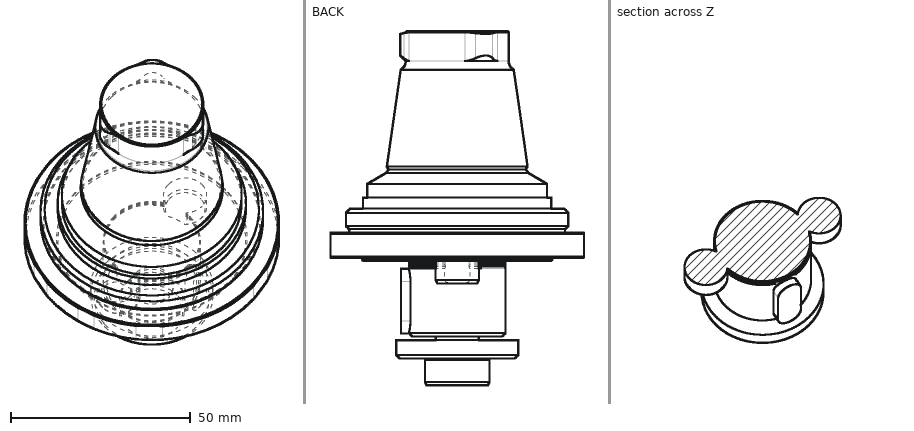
import cadquery as cq
import math

TOTAL_HEIGHT = 98.5
EDGE_BREAK = 0.4

BOSS_R = 18.0 / 2
BOSS_TOP = 7.5
BOSS_CHAMFER_HEIGHT = 1.0
BOSS_CHAMFER_WIDTH = 0.5
DISC_R = 34.0 / 2
DISC_TOP = 12.6
DISC_CHAMFER = 1.0
NECK_R = 12.0 / 2
SHAFT_R = 27.0 / 2
SHAFT_BOTTOM = 13.6
SHAFT_TOP = 33.1
SHAFT_CHAMFER = 1.0
SHAFT_TOP_CHAMFER = 0.6
RELIEF_R = 26.6 / 2
COLLAR_R = SHAFT_R
COLLAR_BOTTOM = 33.5
COLLAR_TOP = 34.1

SPIGOT_R = 53.0 / 2
SPIGOT_BOTTOM = 34.6
FLANGE_R = 35.5
FLANGE_BOTTOM = 35.5
FLANGE_TOP = 42.6
GROOVE_R = 60.1 / 2
RIM_R = 62.0 / 2
RIM_BOTTOM = 43.5
RIM_TOP = 49.2
RIM_BOTTOM_CHAMFER = 0.8
RIM_TOP_CHAMFER = 1.2

STEP_R = 52.4 / 2
STEP_TOP = 52.2
SHOULDER_R = 50.0 / 2
SHOULDER_TOP = 56.0
UNDERCUT_R = 19.1
UNDERCUT_TOP = 60.1
CONE_TOP_R = 19.8
CONE_TOP = 59.1
BODY_BOTTOM_R = 19.6
BODY_BOTTOM = 60.9
BODY_TOP_R = 15.8
BODY_TOP = 87.7

HEAD_R = 14.4
HEAD_BOTTOM = 90.2
NECKING_RADIUS = 2.5
LOBE_COUNT = 3
LOBE_TIP_R = 15.9
LOBE_R = 4.3
LOBE_BLEND_R = 8.9

WIDE_FLAT_DISTANCE = 35.3
NARROW_FLAT_DISTANCE = 35.4
FLATS = [(angle, WIDE_FLAT_DISTANCE) for angle in (0, 180, 240, 300)] + [(270, NARROW_FLAT_DISTANCE)]

PIN_R = 12.0 / 2
PIN_OFFSET = 17.9
PIN_BOTTOM = 28.4
PIN_CHAMFER_HEIGHT = 0.9
PIN_CHAMFER_WIDTH = 0.5
KEY_WIDTH = 7.2
KEY_BOTTOM = 14.4
KEY_TOP = 32.5
KEY_OUTER_X = 15.7


def make_turned_tail():
    """Everything turned below the flange, up to the flange underside."""
    return (
        cq.Workplane("XZ")
        .moveTo(0, 0)
        .lineTo(BOSS_R - BOSS_CHAMFER_WIDTH, 0)
        .lineTo(BOSS_R, BOSS_CHAMFER_HEIGHT)
        .lineTo(BOSS_R, BOSS_TOP - EDGE_BREAK)
        .lineTo(BOSS_R - EDGE_BREAK, BOSS_TOP)
        .lineTo(DISC_R - DISC_CHAMFER, BOSS_TOP)
        .lineTo(DISC_R, BOSS_TOP + DISC_CHAMFER)
        .lineTo(DISC_R, DISC_TOP)
        .lineTo(NECK_R, DISC_TOP)
        .lineTo(NECK_R, SHAFT_BOTTOM)
        .lineTo(SHAFT_R - SHAFT_CHAMFER, SHAFT_BOTTOM)
        .lineTo(SHAFT_R, SHAFT_BOTTOM + SHAFT_CHAMFER)
        .lineTo(SHAFT_R, SHAFT_TOP - SHAFT_TOP_CHAMFER)
        .lineTo(RELIEF_R, SHAFT_TOP)
        .lineTo(RELIEF_R, COLLAR_BOTTOM)
        .lineTo(COLLAR_R, COLLAR_BOTTOM)
        .lineTo(COLLAR_R, COLLAR_TOP)
        .lineTo(RELIEF_R, COLLAR_TOP)
        .lineTo(RELIEF_R, SPIGOT_BOTTOM)
        .lineTo(SPIGOT_R - EDGE_BREAK, SPIGOT_BOTTOM)
        .lineTo(SPIGOT_R, SPIGOT_BOTTOM + EDGE_BREAK)
        .lineTo(SPIGOT_R, FLANGE_BOTTOM)
        .lineTo(0, FLANGE_BOTTOM)
        .close()
        .revolve(360, (0, 0, 0), (0, 1, 0))
    )


def make_flange():
    """Round flange with flats around its edge."""
    height = FLANGE_TOP - FLANGE_BOTTOM
    flange = cq.Workplane("XY").workplane(offset=FLANGE_BOTTOM).circle(FLANGE_R).extrude(height)
    flange = flange.faces("<Z or >Z").chamfer(EDGE_BREAK)
    for angle, distance in FLATS:
        cutter = (
            cq.Workplane("XY")
            .box(FLANGE_R, 2 * FLANGE_R, height, centered=(False, True, False))
            .translate((distance, 0, FLANGE_BOTTOM))
            .rotate((0, 0, 0), (0, 0, 1), angle)
        )
        flange = flange.cut(cutter)
    return flange


def make_turned_body():
    """Everything turned above the flange, up to the underside of the head."""
    return (
        cq.Workplane("XZ")
        .moveTo(0, FLANGE_TOP)
        .lineTo(GROOVE_R, FLANGE_TOP)
        .lineTo(GROOVE_R, RIM_BOTTOM)
        .lineTo(RIM_R - RIM_BOTTOM_CHAMFER, RIM_BOTTOM)
        .lineTo(RIM_R, RIM_BOTTOM + RIM_BOTTOM_CHAMFER)
        .lineTo(RIM_R, RIM_TOP - RIM_TOP_CHAMFER)
        .lineTo(RIM_R - RIM_TOP_CHAMFER, RIM_TOP)
        .lineTo(STEP_R, RIM_TOP)
        .lineTo(STEP_R, STEP_TOP)
        .lineTo(SHOULDER_R, STEP_TOP)
        .lineTo(SHOULDER_R, SHOULDER_TOP)
        .lineTo(CONE_TOP_R, CONE_TOP)
        .lineTo(UNDERCUT_R, UNDERCUT_TOP)
        .lineTo(BODY_BOTTOM_R, BODY_BOTTOM)
        .lineTo(BODY_TOP_R, BODY_TOP)
        .lineTo(BODY_TOP_R - EDGE_BREAK, BODY_TOP + EDGE_BREAK)
        .radiusArc((HEAD_R, HEAD_BOTTOM), NECKING_RADIUS)
        .lineTo(0, HEAD_BOTTOM)
        .close()
        .revolve(360, (0, 0, 0), (0, 1, 0))
    )


def polar(radius, angle):
    return (radius * math.cos(angle), radius * math.sin(angle))


def make_head():
    """Cylinder with three lobes that blend tangentially into it."""
    lobe_centre_r = LOBE_TIP_R - LOBE_R
    blend_centre_r = HEAD_R + LOBE_BLEND_R
    centre_distance = LOBE_R + LOBE_BLEND_R
    half_angle = math.acos(
        (lobe_centre_r**2 + blend_centre_r**2 - centre_distance**2) / (2 * lobe_centre_r * blend_centre_r)
    )
    blend_x, blend_y = polar(blend_centre_r, half_angle)
    tangent_x = lobe_centre_r + (blend_x - lobe_centre_r) * LOBE_R / centre_distance
    tangent_y = blend_y * LOBE_R / centre_distance
    tangent_r = math.hypot(tangent_x, tangent_y)
    tangent_angle = math.atan2(tangent_y, tangent_x)

    pitch = 2 * math.pi / LOBE_COUNT
    outline = cq.Workplane("XY").workplane(offset=HEAD_BOTTOM).moveTo(*polar(HEAD_R, -half_angle))
    for index in range(LOBE_COUNT):
        middle = index * pitch
        outline = (
            outline.radiusArc(polar(tangent_r, middle - tangent_angle), LOBE_BLEND_R)
            .threePointArc(polar(LOBE_TIP_R, middle), polar(tangent_r, middle + tangent_angle))
            .radiusArc(polar(HEAD_R, middle + half_angle), LOBE_BLEND_R)
            .threePointArc(
                polar(HEAD_R, middle + pitch / 2),
                polar(HEAD_R, middle + pitch - half_angle),
            )
        )
    prism = outline.close().extrude(TOTAL_HEIGHT - HEAD_BOTTOM)

    lobe_height = LOBE_TIP_R - HEAD_R
    top_r = HEAD_R - EDGE_BREAK
    envelope = (
        cq.Workplane("XZ")
        .moveTo(0, HEAD_BOTTOM)
        .lineTo(HEAD_R, HEAD_BOTTOM)
        .lineTo(LOBE_TIP_R, HEAD_BOTTOM + lobe_height)
        .lineTo(LOBE_TIP_R, TOTAL_HEIGHT - 2 * EDGE_BREAK)
        .lineTo(HEAD_R, TOTAL_HEIGHT - EDGE_BREAK)
        .lineTo(top_r, TOTAL_HEIGHT)
        .lineTo(0, TOTAL_HEIGHT)
        .close()
        .revolve(360, (0, 0, 0), (0, 1, 0))
    )
    return prism.intersect(envelope)


def make_pins():
    """Two drive pins under the flange, on the Y axis."""
    pins = cq.Workplane("XY").workplane(offset=PIN_BOTTOM)
    pins = pins.pushPoints([(0, PIN_OFFSET), (0, -PIN_OFFSET)]).circle(PIN_R)
    pins = pins.extrude(FLANGE_BOTTOM - PIN_BOTTOM)
    return pins.faces("<Z").edges().chamfer(PIN_CHAMFER_HEIGHT, PIN_CHAMFER_WIDTH)


def make_key():
    """Round-ended key standing out of the shaft on the +X side."""
    return (
        cq.Workplane("YZ")
        .center(0, (KEY_BOTTOM + KEY_TOP) / 2)
        .slot2D(KEY_TOP - KEY_BOTTOM, KEY_WIDTH, 90)
        .extrude(KEY_OUTER_X)
    )


result = make_turned_tail()
for section in (make_flange(), make_turned_body(), make_head(), make_pins(), make_key()):
    result = result.union(section)